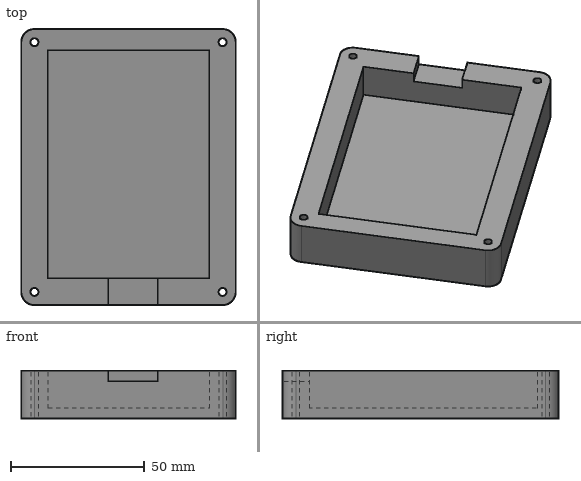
import cadquery as cq

width = 80.4
length = 103.5
height = 18.0
corner_radius = 5.0

side_wall = 10.0
front_wall = 10.0
back_wall = 8.0
pocket_depth = 14.0

notch_width = 18.5
notch_depth = 4.0
notch_offset = 1.8

hole_diameter = 2.9
hole_inset = corner_radius


def make_block():
    block = cq.Workplane("XY").box(width, length, height, centered=(True, True, False))
    return block.edges("|Z").fillet(corner_radius)


def make_pocket():
    pocket_width = width - 2 * side_wall
    pocket_length = length - front_wall - back_wall
    return (
        cq.Workplane("XY", origin=(0, (front_wall - back_wall) / 2, height - pocket_depth))
        .box(pocket_width, pocket_length, pocket_depth, centered=(True, True, False))
    )


def make_notch():
    return (
        cq.Workplane("XY", origin=(notch_offset, -length / 2, height - notch_depth))
        .box(notch_width, front_wall, notch_depth, centered=(True, False, False))
    )


def make_screw_holes():
    return (
        cq.Workplane("XY")
        .rect(width - 2 * hole_inset, length - 2 * hole_inset, forConstruction=True)
        .vertices()
        .circle(hole_diameter / 2)
        .extrude(height)
    )


result = make_block().cut(make_pocket()).cut(make_notch()).cut(make_screw_holes())